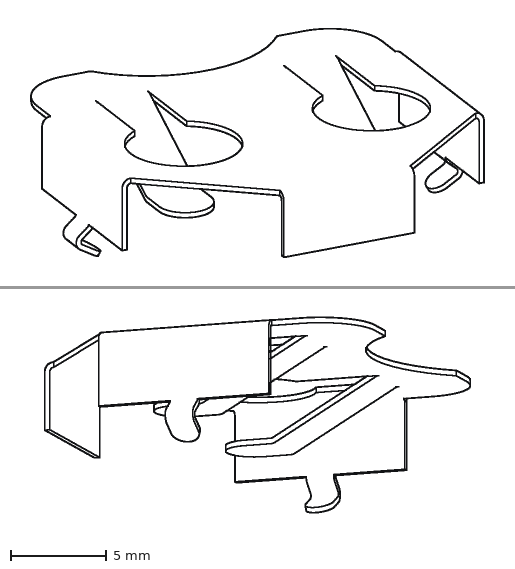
import cadquery as cq
import math

thickness = 0.3
flange_inner_radius = 0.2
flange_outer_radius = flange_inner_radius + thickness
mid_plane_z = -thickness / 2

length = 19.6
flange_span = 21.15
plate_length = length - flange_outer_radius
plate_half_width = flange_span / 2 - flange_outer_radius
corner_radius = 3.03

notch_half_width = 5.45
notch_depth = 2.62

side_flange_center_x = 9.38
side_flange_width = 9.5
side_flange_height = 4.02
end_flange_width = 7.65
end_flange_height = 3.62

clip_width = 1.54
clip_flare_angle = 50.3
clip_root_radius = 0.15
clip_flare_length = 0.63
clip_return_tilt = 60.0
clip_return_length = 0.85
clip_tip_depth = 0.65

opening_center_y = 5.5
hole_center_x = 11.1
hole_radius = 3.1
tongue_width = 3.03
tongue_root_x = 3.8
tongue_angle = 29.0
tongue_ramp_length = 6.42
tongue_flat_length = 1.45
tongue_tip_depth = tongue_width / 2
tongue_inner_radius = 0.3


def folded_strip(start, heading, steps, width, tip_depth=0):
    """Constant-thickness strip in the XZ plane, centred on Y = 0.

    The middle of the strip starts at `start` along `heading` (degrees, 0 = +X).
    Each step is ("straight", length) or ("bend", turn angle, inner radius),
    a positive turn being upward from +X. A tip depth above zero adds an arc-shaped
    end that reaches that far past the last step.
    """
    x, z = start
    stations = [[(x, z, heading)]]
    for kind, *size in steps:
        if kind == "straight":
            x += size[0] * math.cos(math.radians(heading))
            z += size[0] * math.sin(math.radians(heading))
            stations.append([(x, z, heading)])
        else:
            turn, inner_radius = size
            radius = math.copysign(inner_radius + thickness / 2, turn)
            center_x = x - radius * math.sin(math.radians(heading))
            center_z = z + radius * math.cos(math.radians(heading))
            arc = []
            for angle in (heading + turn / 2, heading + turn):
                x = center_x + radius * math.sin(math.radians(angle))
                z = center_z - radius * math.cos(math.radians(angle))
                arc.append((x, z, angle))
            heading += turn
            stations.append(arc)

    def surface_point(station, side):
        px, pz, angle = station
        offset = side * thickness / 2
        return (px - offset * math.sin(math.radians(angle)), pz + offset * math.cos(math.radians(angle)))

    def add_stretch(outline, points):
        if len(points) == 2:
            return outline.threePointArc(*points)
        return outline.lineTo(*points[0])

    outline = cq.Workplane("XZ").moveTo(*surface_point(stations[0][0], 1))
    for stretch in stations[1:]:
        outline = add_stretch(outline, [surface_point(s, 1) for s in stretch])
    outline = outline.lineTo(*surface_point(stations[-1][-1], -1))
    for previous, stretch in zip(stations[-2::-1], stations[:0:-1]):
        back = stretch[:-1] + [previous[-1]]
        outline = add_stretch(outline, [surface_point(s, -1) for s in back])
    strip = outline.close().extrude(width / 2, both=True)

    if tip_depth > 0:
        slope = math.radians(heading)
        tip_plane = cq.Plane(
            origin=(x, 0, z),
            xDir=(math.cos(slope), 0, math.sin(slope)),
            normal=(-math.sin(slope), 0, math.cos(slope)),
        )
        tip = (
            cq.Workplane(tip_plane)
            .moveTo(0, -width / 2)
            .threePointArc((tip_depth, 0), (0, width / 2))
            .close()
            .extrude(thickness / 2, both=True)
        )
        strip = strip.union(tip)
    return strip


def plate():
    side_flange_end_x = side_flange_center_x + side_flange_width / 2
    corner_mid = corner_radius * (1 - math.sqrt(0.5))
    straight_edge_y = plate_half_width - corner_radius
    return (
        cq.Workplane("XY")
        .moveTo(0, -notch_half_width)
        .threePointArc((notch_depth, 0), (0, notch_half_width))
        .lineTo(0, straight_edge_y)
        .threePointArc((corner_mid, plate_half_width - corner_mid), (corner_radius, plate_half_width))
        .lineTo(side_flange_end_x, plate_half_width)
        .lineTo(plate_length, end_flange_width / 2)
        .lineTo(plate_length, -end_flange_width / 2)
        .lineTo(side_flange_end_x, -plate_half_width)
        .lineTo(corner_radius, -plate_half_width)
        .threePointArc((corner_mid, corner_mid - plate_half_width), (0, -straight_edge_y))
        .close()
        .extrude(-thickness)
    )


def keyhole_opening():
    slot_length = hole_center_x - tongue_root_x
    slot = (
        cq.Workplane("XY")
        .center(tongue_root_x + slot_length / 2, 0)
        .rect(slot_length, tongue_width)
        .extrude(-thickness)
    )
    hole = cq.Workplane("XY").center(hole_center_x, 0).circle(hole_radius).extrude(-thickness)
    return slot.union(hole)


def contact_tongue():
    steps = [
        ("bend", -tongue_angle, tongue_inner_radius),
        ("straight", tongue_ramp_length),
        ("bend", tongue_angle, tongue_inner_radius),
        ("straight", tongue_flat_length),
    ]
    return folded_strip((tongue_root_x, mid_plane_z), 0, steps, tongue_width, tongue_tip_depth)


def flange(edge_distance, width, height):
    steps = [
        ("bend", -90, flange_inner_radius),
        ("straight", height - flange_outer_radius),
    ]
    return folded_strip((edge_distance, mid_plane_z), 0, steps, width)


def snap_clip():
    start = (flange_span / 2 - thickness / 2, -side_flange_height)
    steps = [
        ("bend", clip_flare_angle, clip_root_radius),
        ("straight", clip_flare_length),
        ("bend", -(clip_flare_angle + clip_return_tilt), flange_inner_radius),
        ("straight", clip_return_length),
    ]
    return folded_strip(start, -90, steps, clip_width, clip_tip_depth)


body = plate()
for side in (1, -1):
    opening_position = (0, side * opening_center_y, 0)
    body = body.cut(keyhole_opening().translate(opening_position))
    body = body.union(contact_tongue().translate(opening_position))

side_flange = flange(plate_half_width, side_flange_width, side_flange_height).union(snap_clip())
for turn in (90, -90):
    turned_flange = side_flange.rotate((0, 0, 0), (0, 0, 1), turn)
    body = body.union(turned_flange.translate((side_flange_center_x, 0, 0)))

result = body.union(flange(plate_length, end_flange_width, end_flange_height))